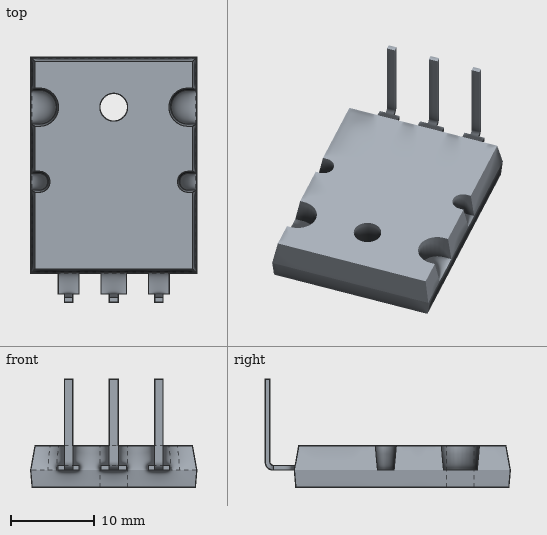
import cadquery as cq
import math

total_length = 29.5
total_height = 13.0
body_width = 20.0
body_length = 26.0
upper_height = 2.95
lower_height = 2.06
upper_inset = 0.53
lower_inset = 0.18

hole_diameter = 3.3
hole_from_end = 6.02
hole_y = body_length - hole_from_end
notch_inset = 1.05
notch_draft = 0.27
large_notch_radius = 2.05
large_notch_y = hole_y
small_notch_radius = 1.0
small_notch_from_end = 15.0
small_notch_y = body_length - small_notch_from_end

lead_pitch = 5.43
lead_thickness = 0.6
lead_reach = total_length - body_length
lead_top = total_height - lower_height
bend_radius = 1.0
shoulder_length = lead_reach - bend_radius
lead_embed = 0.6
outer_shoulder_width = 2.55
middle_shoulder_width = 3.07
outer_pin_width = 1.0
middle_pin_width = 1.1


def drafted_block(height, inset):
    """Half of the body, narrowing by inset as it rises from the parting plane."""
    draft = math.degrees(math.atan2(inset, height))
    return (
        cq.Workplane("XY")
        .center(0, body_length / 2)
        .rect(body_width, body_length)
        .extrude(height, taper=draft)
    )


def side_notch(side, y, radius):
    """Round-ended notch open to one side (-1 or 1), flaring towards the top."""
    inner_x = side * (body_width / 2 - notch_inset)
    outer_x = side * (body_width / 2 + radius)
    draft = math.degrees(math.atan2(notch_draft, upper_height))
    return (
        cq.Workplane("XY")
        .moveTo(outer_x, y - radius)
        .lineTo(inner_x, y - radius)
        .threePointArc((inner_x - side * radius, y), (inner_x, y + radius))
        .lineTo(outer_x, y + radius)
        .close()
        .extrude(upper_height, taper=-draft)
    )


def lead(x, shoulder_width, pin_width):
    """Flat shoulder leaving the body at the parting plane, with an upright pin."""
    shoulder = (
        cq.Workplane("XY", origin=(x, -shoulder_length, 0))
        .box(
            shoulder_width,
            shoulder_length + lead_embed,
            lead_thickness,
            centered=(True, False, False),
        )
    )
    inner_radius = bend_radius - lead_thickness
    diagonal = math.sqrt(0.5)
    pin = (
        cq.Workplane("YZ")
        .moveTo(lead_embed, 0)
        .lineTo(-shoulder_length, 0)
        .threePointArc(
            (-shoulder_length - bend_radius * diagonal, bend_radius * (1 - diagonal)),
            (-lead_reach, bend_radius),
        )
        .lineTo(-lead_reach, lead_top)
        .lineTo(-lead_reach + lead_thickness, lead_top)
        .lineTo(-lead_reach + lead_thickness, bend_radius)
        .threePointArc(
            (-shoulder_length - inner_radius * diagonal, bend_radius - inner_radius * diagonal),
            (-shoulder_length, lead_thickness),
        )
        .lineTo(lead_embed, lead_thickness)
        .close()
        .extrude(pin_width / 2, both=True)
        .translate((x, 0, 0))
    )
    return shoulder.union(pin)


lower_half = drafted_block(lower_height, lower_inset).mirror("XY")
body = drafted_block(upper_height, upper_inset).union(lower_half)

for side in (-1, 1):
    body = body.cut(side_notch(side, large_notch_y, large_notch_radius))
    body = body.cut(side_notch(side, small_notch_y, small_notch_radius))

hole = (
    cq.Workplane("XY", origin=(0, hole_y, -lower_height))
    .circle(hole_diameter / 2)
    .extrude(lower_height + upper_height)
)
body = body.cut(hole)

body = body.union(lead(0, middle_shoulder_width, middle_pin_width))
for x in (-lead_pitch, lead_pitch):
    body = body.union(lead(x, outer_shoulder_width, outer_pin_width))

result = body